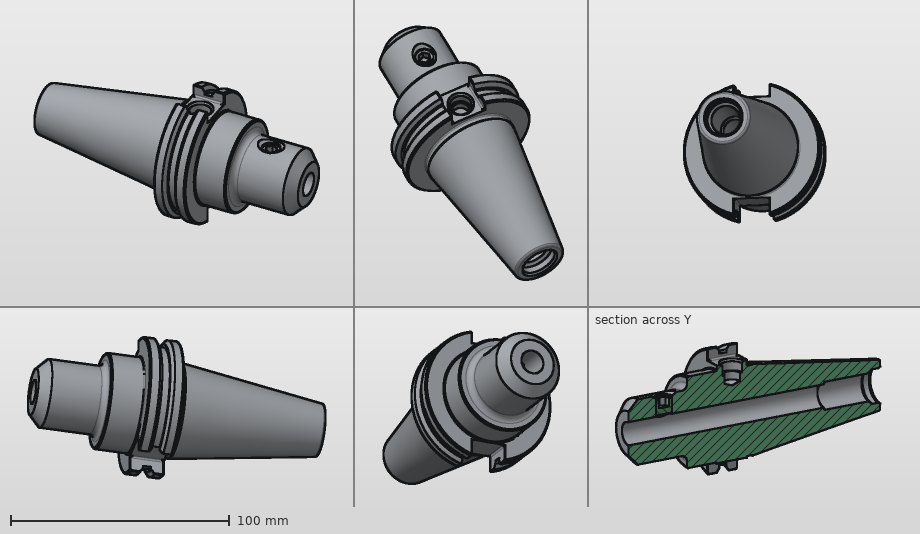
import cadquery as cq
import math

total_length = 134.8

gauge_diameter = 44.5
gauge_x = 68.3
taper_ratio = 7 / 24
taper_end_fillet = 1.2
neck_diameter = 44.0
neck_step_length = 0.4

flange_diameter = 63.4
flange_front_x = 71.3
flange_rear_x = 87.5
flange_chamfer = 0.7
flange_root_fillet = 0.5
groove_center_x = 79.3
groove_floor_diameter = 56.3
groove_floor_width = 3.8
groove_wall_top_diameter = 59.0
groove_slope_length = 1.6

slot_width = 16.5
slot_corner_radius = 0.8
slot_edge_chamfer = 0.4
upper_slot_floor_z = 24.7
lower_slot_floor_z = -22.6

collar_diameter = 44.5
collar_end_x = 103.4
collar_chamfer = 0.7
nose_diameter = 31.8
nose_root_fillet = 3.0
nose_chamfer = 5.1

bore_diameter = 11.0
thread_diameter = 13.3
thread_end_x = 29.7
relief_diameter = 16.5
relief_end_x = 4.6
entry_diameter = 17.9
entry_depth = 1.2
bore_step_half_angle = 60.0

data_hole_x = groove_center_x
data_hole_diameter = 10.1
data_hole_depth = 5.4
data_hole_mouth_diameter = 12.1
data_hole_chamfer_depth = 1.01
pilot_diameter = 8.0
pilot_depth = 9.5
pilot_tip_half_angle = 70.0

screw_x = 115.7
screw_diameter = 8.5
screw_top_z = 13.6
screw_bottom_z = 6.0
hex_across_flats = 5.0
hex_depth = 4.0
hex_rotation = 45.0
sink_bottom_z = 14.4
sink_half_angle = 55.0

tolerance = 0.01


def tan_deg(angle):
    return math.tan(math.radians(angle))


def cylinder_up(x, diameter, bottom_z, top_z):
    """Cylinder parallel to Z, standing over the tool axis."""
    disc = cq.Workplane("XY", origin=(x, 0, bottom_z)).circle(diameter / 2)
    return disc.extrude(top_z - bottom_z)


def cone_up(x, bottom_diameter, top_diameter, bottom_z, top_z):
    """Cone frustum parallel to Z, standing over the tool axis."""
    cone = cq.Solid.makeCone(
        bottom_diameter / 2,
        top_diameter / 2,
        top_z - bottom_z,
        pnt=cq.Vector(x, 0, bottom_z),
        dir=cq.Vector(0, 0, 1),
    )
    return cq.Workplane(obj=cone)


def revolve_about_x(outline):
    return outline.close().revolve(360, (0, 0, 0), (1, 0, 0))


def make_taper_and_nose():
    """Everything turned except the flange."""
    taper_end_radius = (gauge_diameter - taper_ratio * gauge_x) / 2
    nose_radius = nose_diameter / 2
    collar_radius = collar_diameter / 2
    core = revolve_about_x(
        cq.Workplane("XY")
        .moveTo(0, 0)
        .lineTo(0, taper_end_radius)
        .lineTo(gauge_x, gauge_diameter / 2)
        .lineTo(gauge_x + neck_step_length, neck_diameter / 2)
        .lineTo(flange_front_x, neck_diameter / 2)
        .lineTo(flange_front_x, collar_radius)
        .lineTo(collar_end_x - collar_chamfer, collar_radius)
        .lineTo(collar_end_x, collar_radius - collar_chamfer)
        .lineTo(collar_end_x, nose_radius + nose_root_fillet)
        .radiusArc((collar_end_x + nose_root_fillet, nose_radius), -nose_root_fillet)
        .lineTo(total_length - nose_chamfer, nose_radius)
        .lineTo(total_length, nose_radius - nose_chamfer)
        .lineTo(total_length, 0)
    )
    return core.faces("<X").edges().fillet(taper_end_fillet)


def make_flange():
    """Solid flange disc with bevelled rims and the gripper groove."""
    radius = flange_diameter / 2
    rim_radius = radius - flange_chamfer
    wall_top_radius = groove_wall_top_diameter / 2
    floor_radius = groove_floor_diameter / 2
    floor_front_x = groove_center_x - groove_floor_width / 2
    floor_rear_x = groove_center_x + groove_floor_width / 2
    return revolve_about_x(
        cq.Workplane("XY")
        .moveTo(flange_front_x, 0)
        .lineTo(flange_front_x, rim_radius)
        .lineTo(flange_front_x + flange_chamfer, radius)
        .lineTo(floor_front_x - groove_slope_length, radius)
        .lineTo(floor_front_x, wall_top_radius)
        .lineTo(floor_front_x, floor_radius)
        .lineTo(floor_rear_x, floor_radius)
        .lineTo(floor_rear_x, wall_top_radius)
        .lineTo(floor_rear_x + groove_slope_length, radius)
        .lineTo(flange_rear_x - flange_chamfer, radius)
        .lineTo(flange_rear_x, rim_radius)
        .lineTo(flange_rear_x, 0)
    )


def make_root_fillet(face_x, shaft_diameter, direction):
    """Concave ring between a flange face and the shaft that leaves it."""
    shaft_radius = shaft_diameter / 2
    ring_x = face_x + direction * flange_root_fillet
    return revolve_about_x(
        cq.Workplane("XY")
        .moveTo(face_x, shaft_radius - flange_root_fillet)
        .lineTo(face_x, shaft_radius + flange_root_fillet)
        .radiusArc((ring_x, shaft_radius), -direction * flange_root_fillet)
        .lineTo(ring_x, shaft_radius - flange_root_fillet)
    )


def is_outer_wall_edge(edge, floor_z):
    """True for the edges of a slot's walls on the flange faces, bevels and rims."""
    center = edge.Center()
    bounds = edge.BoundingBox()
    on_wall = bounds.ylen < tolerance and abs(abs(center.y) - slot_width / 2) < tolerance
    in_groove = abs(center.x - groove_center_x) < groove_floor_width / 2 + groove_slope_length
    above_floor = center.z / floor_z > 1
    return on_wall and above_floor and not in_groove


def cut_drive_slot(flange, floor_z):
    """Slot across the flange, with bevelled wall edges and rounded floor corners."""
    side = math.copysign(1, floor_z)
    slot = (
        cq.Workplane("XY", origin=(groove_center_x, 0, floor_z))
        .rect(flange_diameter, slot_width)
        .extrude(side * flange_diameter)
    )
    slotted = flange.cut(slot)
    wall_edges = slotted.edges().filter(lambda edge: is_outer_wall_edge(edge, floor_z))
    slotted = wall_edges.chamfer(slot_edge_chamfer)
    floor_corners = slotted.edges("|X").filter(
        lambda edge: abs(edge.Center().z - floor_z) < tolerance
    )
    return floor_corners.fillet(slot_corner_radius)


def make_axial_bore():
    """Through bore with the drawbar thread, its relief and its entry cone."""
    relief_cone_length = (relief_diameter - thread_diameter) / 2
    step_length = (thread_diameter - bore_diameter) / 2 / tan_deg(bore_step_half_angle)
    return revolve_about_x(
        cq.Workplane("XY")
        .moveTo(0, 0)
        .lineTo(0, entry_diameter / 2)
        .lineTo(entry_depth, relief_diameter / 2)
        .lineTo(relief_end_x, relief_diameter / 2)
        .lineTo(relief_end_x + relief_cone_length, thread_diameter / 2)
        .lineTo(thread_end_x, thread_diameter / 2)
        .lineTo(thread_end_x + step_length, bore_diameter / 2)
        .lineTo(total_length, bore_diameter / 2)
        .lineTo(total_length, 0)
    )


def make_data_hole():
    """Blind hole: chamfered mouth, flat-bottomed bore and a pointed pilot."""
    floor_z = upper_slot_floor_z
    pilot_end_z = floor_z - pilot_depth
    tip_length = pilot_diameter / 2 / tan_deg(pilot_tip_half_angle)
    bore = cylinder_up(data_hole_x, data_hole_diameter, floor_z - data_hole_depth, floor_z)
    mouth = cone_up(
        data_hole_x,
        data_hole_diameter,
        data_hole_mouth_diameter,
        floor_z - data_hole_chamfer_depth,
        floor_z,
    )
    pilot = cylinder_up(data_hole_x, pilot_diameter, pilot_end_z, floor_z)
    tip = cone_up(data_hole_x, 0, pilot_diameter, pilot_end_z - tip_length, pilot_end_z)
    return bore.union(mouth).union(pilot).union(tip)


def make_screw_hole():
    """Countersunk cross hole from the nose surface down to the axial bore."""
    nose_top_z = nose_diameter / 2
    sink_spread = 2 * (nose_top_z - sink_bottom_z) * tan_deg(sink_half_angle)
    shaft = cylinder_up(screw_x, screw_diameter, 0, nose_top_z)
    sink = cone_up(screw_x, screw_diameter, screw_diameter + sink_spread, sink_bottom_z, nose_top_z)
    return shaft.union(sink)


def make_holder():
    flange = make_flange()
    for floor_z in (upper_slot_floor_z, lower_slot_floor_z):
        flange = cut_drive_slot(flange, floor_z)
    body = make_taper_and_nose().union(flange)
    body = body.union(make_root_fillet(flange_front_x, neck_diameter, -1))
    body = body.union(make_root_fillet(flange_rear_x, collar_diameter, 1))
    return body.cut(make_axial_bore()).cut(make_data_hole()).cut(make_screw_hole())


def make_clamping_screw():
    """Headless screw with a hexagon socket in its top."""
    hex_across_corners = hex_across_flats / math.cos(math.pi / 6)
    shank = cylinder_up(screw_x, screw_diameter, screw_bottom_z, screw_top_z)
    socket = (
        cq.Workplane("XY", origin=(screw_x, 0, screw_top_z))
        .transformed(rotate=(0, 0, hex_rotation))
        .polygon(6, hex_across_corners)
        .extrude(-hex_depth)
    )
    return shank.cut(socket)


holder = make_holder()
clamping_screw = make_clamping_screw()
result = cq.Compound.makeCompound([holder.val(), clamping_screw.val()])